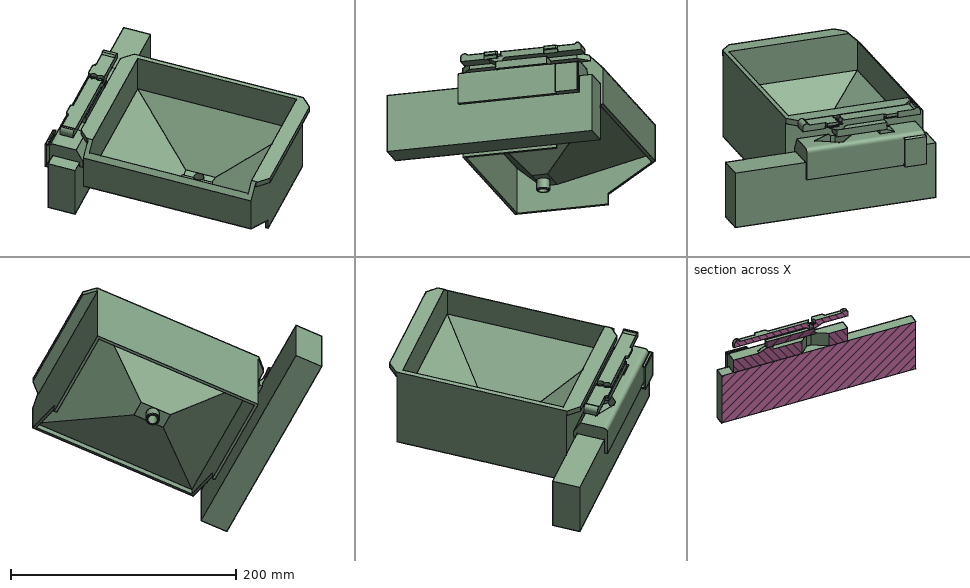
import cadquery as cq
import math


def prism_along_y(outline, y_start, y_end):
    """Extrude a list of (x, z) points from y_start to y_end."""
    plane = cq.Workplane("XZ", origin=(0, y_start, 0))
    return plane.polyline(outline).close().extrude(y_start - y_end)


def prism_along_x(outline, x_start, x_end):
    """Extrude a list of (y, z) points from x_start to x_end."""
    plane = cq.Workplane("YZ", origin=(x_start, 0, 0))
    return plane.polyline(outline).close().extrude(x_end - x_start)


def block(x_start, x_end, y_start, y_end, z_start, z_end):
    """Box between two limits on every axis."""
    size = (x_end - x_start, y_end - y_start, z_end - z_start)
    return cq.Workplane().box(*size, centered=False).translate((x_start, y_start, z_start))


rail_left = 7.3
rail_width = 25.5
rail_right = rail_left + rail_width
rail_length = 190.0
rail_height = 52.9

saddle_front = 11.5
saddle_back = 123.4
saddle_top = 66.7
saddle_leg = 3.1
saddle_left = rail_left - saddle_leg
saddle_right = rail_right + saddle_leg
left_leg_bottom = 37.3
right_leg_bottom = 47.8
saddle_round = 4.2
slope_top_x = 29.5
slope_bottom_z = 54.8

clip_thickness = 1.3
clip_back = 31.9
clip_top = 63.8
clip_hook_reach = 3.0
clip_hook_rise = 0.8

arrow_half_width = 11.0
arrow_tip_y = 110.4
arrow_shoulder_back = 91.0
arrow_shoulder_front = 86.9

foot_back = 50.8
foot_front = 36.7

cell_bottom = 70.0
cell_top = 76.8
cell_front = 44.0
cell_back = 91.5

platform_left = 13.8
platform_right = 26.5
platform_center = (platform_left + platform_right) / 2
plate_bottom = 80.0
plate_top = 85.5
plate_back = 123.8
plate_front = 12.2
bump_top = 87.0
bump_half_width = 0.8
bump_foot = 2.7
nose_bulge = 0.6
front_bump_y = 15.5
back_bump_y = 120.0
front_nose_z = 82.7
back_nose_z = 84.3
riser_round = 3.8
riser_front = 85.2
riser_back_top = 99.0
riser_back_bottom = 92.3

screw_y = 88.1
screw_spacing = 6.5
screw_hole_diameter = 3.5
screw_head_diameter = 6.7
screw_seat = 81.6

tab_reach = 2.5
tab_bottom = 82.9
tab_taper = 1.3
tab_length = 13.0
tab_front_ends = (33.8, 89.4)
undercut_depth = 1.7

hopper_left = 40.7
hopper_right = 199.7
hopper_center = (hopper_left + hopper_right) / 2
hopper_back = 130.0
hopper_top = 83.3
hopper_wall = 4.2
skirt_wall = 2.5
lip_drop = 12.5
flange_thickness = 5.2
flange_overhang = 10.0
flange_front = 11.5
flange_corner = 9.5
funnel_top = 46.5
floor_half_width = 13.2
floor_level = 4.2
floor_front = 77.8
floor_back = 84.1
floor_tilt = 0.6
ledge_width = 0.6
bend_y = 67.8
bend_z = 7.1
front_slope = (funnel_top - bend_z) / (bend_y - hopper_wall)
front_wall_bottom = 36.7
skirt_step_z = 9.9

outlet_y = 79.7
outlet_diameter = 12.0
outlet_bore = 8.8
outlet_bottom = -9.9
outlet_chamfer = 0.8


def make_rail():
    return block(rail_left, rail_right, 0, rail_length, 0, rail_height)


def make_clip():
    """Thin strip rising from the foot of the left leg, with a hook at its top."""
    hook_top = clip_top + clip_hook_rise
    outline = [
        (0, left_leg_bottom),
        (rail_left, left_leg_bottom),
        (rail_left, left_leg_bottom + clip_thickness),
        (clip_thickness, left_leg_bottom + clip_thickness),
        (clip_thickness, clip_top - clip_thickness / 2),
        (clip_hook_reach, hook_top - clip_thickness),
        (clip_hook_reach, hook_top),
        (0, clip_top),
    ]
    return prism_along_y(outline, saddle_front, clip_back)


def make_arrow_opening():
    arrow_nose_y = arrow_shoulder_front - arrow_half_width
    outline = [
        (platform_center, arrow_tip_y),
        (platform_center + arrow_half_width, arrow_shoulder_back),
        (platform_center + arrow_half_width, arrow_shoulder_front),
        (platform_center, arrow_nose_y),
        (platform_center - arrow_half_width, arrow_shoulder_front),
        (platform_center - arrow_half_width, arrow_shoulder_back),
    ]
    plane = cq.Workplane("XY", origin=(0, 0, rail_height))
    return plane.polyline(outline).close().extrude(saddle_top - rail_height)


def make_foot():
    """Wedge-ended pad under the front end of the load cell."""
    outline = [
        (foot_front, saddle_top),
        (cell_front, cell_bottom),
        (foot_back, cell_bottom),
        (foot_back, saddle_top),
    ]
    return prism_along_x(outline, platform_left, platform_right)


def make_saddle():
    outline = [
        (saddle_left, left_leg_bottom),
        (saddle_left, saddle_top),
        (slope_top_x, saddle_top),
        (saddle_right, slope_bottom_z),
        (saddle_right, right_leg_bottom),
        (rail_right, right_leg_bottom),
        (rail_right, rail_height),
        (rail_left, rail_height),
        (rail_left, left_leg_bottom),
    ]
    saddle = prism_along_y(outline, saddle_front, saddle_back)
    top_left_edge = cq.selectors.NearestToPointSelector(
        (saddle_left, (saddle_front + saddle_back) / 2, saddle_top)
    )
    saddle = saddle.edges(top_left_edge).fillet(saddle_round)
    return saddle.union(make_clip()).union(make_foot()).cut(make_arrow_opening())


def make_load_cell():
    return block(platform_left, platform_right, cell_front, cell_back, cell_bottom, cell_top)


def make_platform_profile():
    """Side shape of the platform: plate with two end bumps, on a riser."""
    round_center_y = riser_front - riser_round
    round_center_z = plate_bottom - riser_round
    round_mid = riser_round * math.sqrt(0.5)
    outline = (
        cq.Workplane("YZ", origin=(platform_left, 0, 0))
        .moveTo(riser_back_bottom, cell_top)
        .lineTo(riser_front, cell_top)
        .threePointArc(
            (round_center_y + round_mid, round_center_z + round_mid),
            (round_center_y, plate_bottom),
        )
        .lineTo(plate_front, plate_bottom)
        .lineTo(plate_front, front_nose_z)
        .sagittaArc((front_bump_y - bump_half_width, bump_top), nose_bulge)
        .lineTo(front_bump_y + bump_half_width, bump_top)
        .lineTo(front_bump_y + bump_foot, plate_top)
        .lineTo(back_bump_y - bump_foot, plate_top)
        .lineTo(back_bump_y - bump_half_width, bump_top)
        .lineTo(back_bump_y + bump_half_width, bump_top)
        .sagittaArc((plate_back, back_nose_z), nose_bulge)
        .lineTo(plate_back, plate_bottom)
        .lineTo(riser_back_top, plate_bottom)
        .close()
    )
    return outline.extrude(platform_right - platform_left)


def make_tab(front_end):
    """Tapered tab on the left side of the plate."""
    back_end = front_end + tab_length
    outline = [
        (platform_left, front_end),
        (platform_left - tab_reach, front_end + tab_taper),
        (platform_left - tab_reach, back_end - tab_taper),
        (platform_left, back_end),
    ]
    plane = cq.Workplane("XY", origin=(0, 0, tab_bottom))
    return plane.polyline(outline).close().extrude(plate_top - tab_bottom)


def make_undercut(front_end):
    """Sloped relief in the side of the plate below a tab."""
    outline = [
        (platform_left, plate_bottom),
        (platform_left, tab_bottom),
        (platform_left + undercut_depth, plate_bottom),
    ]
    return prism_along_y(outline, front_end, front_end + tab_length)


def make_platform():
    platform = make_platform_profile()
    for front_end in tab_front_ends:
        platform = platform.cut(make_undercut(front_end)).union(make_tab(front_end))
    for side in (-1, 1):
        screw_x = platform_center + side * screw_spacing / 2
        hole = cq.Workplane("XY", origin=(screw_x, screw_y, cell_top)).circle(screw_hole_diameter / 2)
        head = cq.Workplane("XY", origin=(screw_x, screw_y, screw_seat)).circle(screw_head_diameter / 2)
        platform = platform.cut(hole.extrude(plate_top - cell_top))
        platform = platform.cut(head.extrude(plate_top - screw_seat))
    return platform


def funnel_across():
    """Cross-section of the funnel as (x, z) points."""
    inner_left = hopper_left + hopper_wall
    inner_right = hopper_right - hopper_wall
    return [
        (inner_left, hopper_top),
        (inner_left, funnel_top),
        (hopper_center - floor_half_width, floor_level),
        (hopper_center + floor_half_width, floor_level),
        (inner_right, funnel_top),
        (inner_right, hopper_top),
    ]


def make_funnel_cavity():
    """Open inside of the hopper: four sloped sides, a bend in the front one and a small floor."""
    inner_back = hopper_back - hopper_wall
    along = [
        (hopper_wall, hopper_top),
        (hopper_wall, funnel_top),
        (bend_y, bend_z),
        (floor_front - ledge_width, floor_level + floor_tilt),
        (floor_front, floor_level),
        (floor_back, floor_level + floor_tilt),
        (inner_back, funnel_top),
        (inner_back, hopper_top),
    ]
    across_solid = prism_along_y(funnel_across(), 0, hopper_back)
    return across_solid.intersect(prism_along_x(along, hopper_left, hopper_right))


def make_funnel_body():
    """Solid outside of the funnel, one wall thickness larger, with a straight front slope."""
    inner_back = hopper_back - hopper_wall
    along = [
        (hopper_wall, hopper_top),
        (hopper_wall, funnel_top),
        (hopper_wall + (funnel_top - floor_level) / front_slope, floor_level),
        (floor_back, floor_level),
        (inner_back, funnel_top),
        (inner_back, hopper_top),
    ]
    across_plane = cq.Workplane("XZ").polyline(funnel_across()).close()
    along_plane = cq.Workplane("YZ", origin=(hopper_left, 0, 0)).polyline(along).close()
    across_solid = across_plane.offset2D(hopper_wall, "intersection").extrude(-hopper_back)
    along_solid = along_plane.offset2D(hopper_wall, "intersection").extrude(hopper_right - hopper_left)
    return across_solid.intersect(along_solid)


def make_hopper_shell():
    """Outer walls, with a sloped lip and a front cut back parallel to the funnel."""
    skirt_front = (front_wall_bottom - skirt_step_z) / front_slope
    side = [
        (0, hopper_top),
        (0, front_wall_bottom),
        (skirt_front, skirt_step_z),
        (skirt_front, 0),
        (hopper_back, 0),
        (hopper_back, hopper_top),
    ]
    return prism_along_x(side, hopper_left, hopper_right)


def make_flange():
    """Rim flange with 45 degree corners, overhanging the left and right walls."""
    left_end = hopper_left - flange_overhang
    right_end = hopper_right + flange_overhang
    outline = [
        (left_end + flange_corner, flange_front),
        (right_end - flange_corner, flange_front),
        (right_end, flange_front + flange_corner),
        (right_end, hopper_back - flange_corner),
        (right_end - flange_corner, hopper_back),
        (left_end + flange_corner, hopper_back),
        (left_end, hopper_back - flange_corner),
        (left_end, flange_front + flange_corner),
    ]
    plane = cq.Workplane("XY", origin=(0, 0, hopper_top - flange_thickness))
    return plane.polyline(outline).close().extrude(flange_thickness)


def make_outlet():
    """Short spout below the funnel floor, chamfered at its lower end."""
    spout = cq.Workplane("XY", origin=(hopper_center, outlet_y, outlet_bottom))
    spout = spout.circle(outlet_diameter / 2).extrude(floor_level - outlet_bottom)
    return spout.faces("<Z").chamfer(outlet_chamfer)


def make_hopper():
    underside = block(
        hopper_left + skirt_wall, hopper_right - skirt_wall,
        skirt_wall, hopper_back - skirt_wall,
        0, funnel_top,
    ).cut(make_funnel_body())
    lip_cut = prism_along_x(
        [(0, hopper_top - lip_drop), (0, hopper_top), (lip_drop, hopper_top)],
        hopper_left - flange_overhang, hopper_right + flange_overhang,
    )
    bore = cq.Workplane("XY", origin=(hopper_center, outlet_y, outlet_bottom))
    bore = bore.circle(outlet_bore / 2).extrude(funnel_top - outlet_bottom)
    hopper = make_hopper_shell().cut(underside).union(make_flange()).union(make_outlet())
    return hopper.cut(make_funnel_cavity()).cut(lip_cut).cut(bore)


rail = make_rail()
saddle = make_saddle()
load_cell = make_load_cell()
platform = make_platform()
hopper = make_hopper()

result = cq.Compound.makeCompound([
    rail.val(),
    saddle.val(),
    load_cell.val(),
    platform.val(),
    hopper.val(),
])